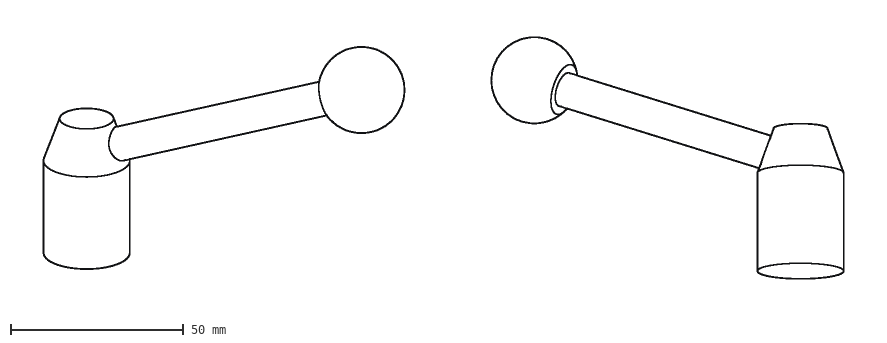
import cadquery as cq
import math

overall_length = 109.2
overall_height = 75.0
hub_diameter = 25.0
hub_top_diameter = 15.6
hub_height = 42.0
cylinder_height = 28.8
ball_diameter = 25.0
ball_flat_diameter = 15.0
arm_diameter = 10.0
arm_angle = 20.0

hub_radius = hub_diameter / 2
ball_radius = ball_diameter / 2

ball_x = overall_length - hub_radius - ball_radius
ball_z = overall_height - ball_radius
slope = math.radians(arm_angle)
arm_direction = cq.Vector(math.cos(slope), 0, math.sin(slope))
arm_start = cq.Vector(0, 0, ball_z - ball_x * math.tan(slope))
arm_length = ball_x / math.cos(slope)
flat_distance = math.sqrt(ball_radius**2 - (ball_flat_diameter / 2) ** 2)


def make_hub():
    """Cylinder with a tapered top, revolved from its half profile."""
    return (
        cq.Workplane("XZ")
        .lineTo(hub_radius, 0)
        .lineTo(hub_radius, cylinder_height)
        .lineTo(hub_top_diameter / 2, hub_height)
        .lineTo(0, hub_height)
        .close()
        .revolve(360, (0, 0, 0), (0, 1, 0))
    )


def make_arm():
    """Round rod inclined along the arm axis."""
    rod = cq.Solid.makeCylinder(arm_diameter / 2, arm_length, arm_start, arm_direction)
    return cq.Workplane(obj=rod)


def make_ball():
    """Ball with a flat facing the hub, square to the arm."""
    ball_centre = cq.Vector(ball_x, 0, ball_z)
    flat_centre = ball_centre - arm_direction * flat_distance
    ball = cq.Workplane("XY").sphere(ball_radius).translate(ball_centre)
    cutter = cq.Solid.makeCylinder(ball_radius, ball_radius, flat_centre, arm_direction * -1)
    return ball.cut(cq.Workplane(obj=cutter))


result = make_hub().union(make_arm()).union(make_ball())